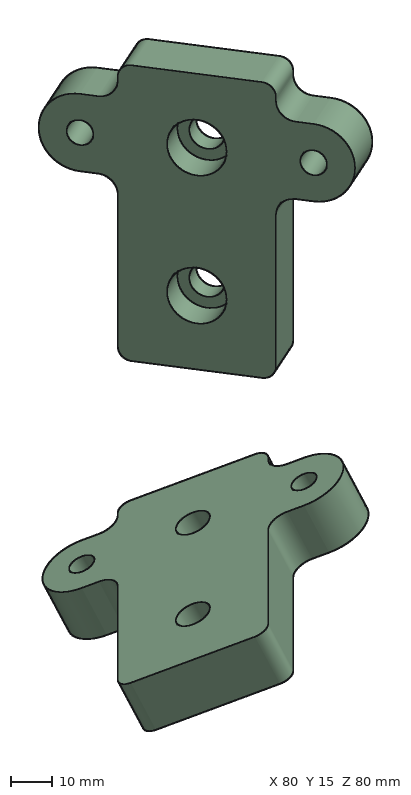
import cadquery as cq

height = 80.0
span = 80.0
thickness = 15.0
body_width = 40.0
corner_radius = 3.5

ear_radius = 10.5
ear_drop = 20.0
ear_root_radius = 5.0
ear_hole_diameter = 6.7

bore_diameter = 9.0
counterbore_diameter = 15.0
counterbore_depth = 9.0
bore_pitch = 40.0

front_y = -thickness / 2
ear_z = height / 2 - ear_drop
ear_x = span / 2 - ear_radius
bore_points = [(0, ear_z), (0, ear_z - bore_pitch)]
ear_points = [(-ear_x, ear_z), (ear_x, ear_z)]


def front_plane():
    """Sketch plane on the front face; local axes follow X and Z."""
    return cq.Workplane("XZ", origin=(0, front_y, 0))


def drill(points, diameter, depth):
    """Cylinders running from the front face toward +Y."""
    return front_plane().pushPoints(points).circle(diameter / 2).extrude(-depth)


def make_plate():
    body = (
        cq.Workplane("XY")
        .box(body_width, thickness, height)
        .edges("|Y")
        .fillet(corner_radius)
    )
    ears = front_plane().center(0, ear_z).slot2D(span, 2 * ear_radius).extrude(-thickness)
    half_width = body_width / 2
    margin = 0.8
    root_corners = cq.selectors.BoxSelector(
        (-half_width - margin, -thickness, ear_z - ear_radius - margin),
        (half_width + margin, thickness, ear_z + ear_radius + margin),
    )
    return body.union(ears).edges("|Y").edges(root_corners).fillet(ear_root_radius)


plate = make_plate()
plate = plate.cut(drill(ear_points, ear_hole_diameter, thickness))
plate = plate.cut(drill(bore_points, bore_diameter, thickness))
result = plate.cut(drill(bore_points, counterbore_diameter, counterbore_depth))